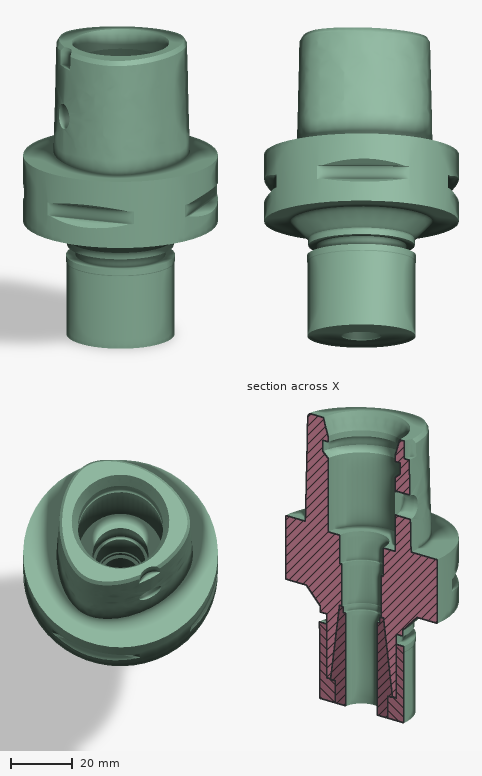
import cadquery as cq
import math

TOTAL_HEIGHT = 98.0

SHANK_LENGTH = 37.8
SHANK_RADIUS = 22.05
LOBE_OFFSET = 1.4
TAPER_SLOPE = 1 / 40
SECTION_POINTS = 36
TIP_CHAMFER_HEIGHT = 1.5
TIP_CHAMFER_WIDTH = 0.9

FLANGE_RADIUS = 63.0 / 2
FLANGE_HEIGHT = 22.2
CONE_HEIGHT = 5.8
COLLAR_RADIUS = 17.2
COLLAR_HEIGHT = 2.2
NOSE_RADIUS = 14.5
NECK_HEIGHT = 3.3

SLOT_COUNT = 4
SLOT_FLOOR_DISTANCE = 27.7
SLOT_FLOOR_HEIGHT = 4.3
SLOT_FLARE_DISTANCE = 28.5
SLOT_FLARE = 1.7
SLOT_DEPTH_IN_FLANGE = 12.2

NOTCH_RADIUS = 5.0
NOTCH_DEPTH = 6.1
NOTCH_REACH = 17.8
SIDE_HOLE_RADIUS = 4.1
SIDE_HOLE_DROP = 22.4
SIDE_HOLE_FLOOR = 14.3

MOUTH_RADIUS = 15.8
CAVITY_RADIUS = 13.8
MOUTH_CONE_DEPTH = 6.1
LIP_DEPTH = 8.1
GROOVE_RADIUS = 16.0
GROOVE_DEPTH = 11.9
GROOVE_RAMP_DEPTH = 13.7
CAVITY_DEPTH = 39.2
SCREW_HOLE_RADIUS = 9.0
SCREW_HOLE_DEPTH = 49.0
PASSAGE_RADIUS = 8.0

NUT_RADIUS = 17.5
NUT_RIM_RADIUS = 17.6
NUT_RIM_HEIGHT = 2.0
NUT_STEP_CHAMFER = 0.3
NUT_FLOOR = 7.8
NUT_OPENING_RADIUS = 10.8

COLLET_LENGTH = 34.3
COLLET_TIP_RADIUS = 9.0
COLLET_TAPER_ANGLE = 8.0
COLLET_BORE_RADIUS = 6.5
COLLET_RECESS_RADIUS = 7.5
COLLET_RECESS_DEPTH = 2.0

flange_top = TOTAL_HEIGHT - SHANK_LENGTH
flange_bottom = flange_top - FLANGE_HEIGHT
cone_bottom = flange_bottom - CONE_HEIGHT
collar_bottom = cone_bottom - COLLAR_HEIGHT
nut_top = collar_bottom - NECK_HEIGHT
collet_seat_radius = COLLET_TIP_RADIUS + (COLLET_LENGTH - NUT_FLOOR) * math.tan(
    math.radians(COLLET_TAPER_ANGLE)
)


def revolved(profile):
    """Solid of revolution about Z from (radius, height) points."""
    half_plane = cq.Plane(origin=(0, 0, 0), xDir=(0, -1, 0), normal=(-1, 0, 0))
    return cq.Workplane(half_plane).polyline(profile).close().revolve(360, (0, 0), (0, 1))


def polygon_section(mean_radius, height):
    """Closed three-lobed curve with one lobe toward +Y, starting at the middle of the -Y side."""
    points = []
    for index in range(SECTION_POINTS):
        angle = math.pi + 2 * math.pi * index / SECTION_POINTS
        x = (
            mean_radius * math.sin(angle)
            - 2 * LOBE_OFFSET * math.sin(2 * angle)
            - LOBE_OFFSET * math.sin(4 * angle)
        )
        y = (
            mean_radius * math.cos(angle)
            + 2 * LOBE_OFFSET * math.cos(2 * angle)
            - LOBE_OFFSET * math.cos(4 * angle)
        )
        points.append(cq.Vector(x, y, height))
    return cq.Wire.assembleEdges([cq.Edge.makeSpline(points, periodic=True)])


def loft_between(lower, upper):
    """Straight-sided solid between two section wires."""
    return cq.Workplane(cq.Solid.makeLoft([lower, upper], True))


def make_shank():
    """Tapered polygon shank with a chamfered tip."""
    chamfer_start = TOTAL_HEIGHT - TIP_CHAMFER_HEIGHT
    radius_at_chamfer = SHANK_RADIUS - (SHANK_LENGTH - TIP_CHAMFER_HEIGHT) * TAPER_SLOPE
    base = polygon_section(SHANK_RADIUS, flange_top)
    shoulder = polygon_section(radius_at_chamfer, chamfer_start)
    tip = polygon_section(radius_at_chamfer - TIP_CHAMFER_WIDTH, TOTAL_HEIGHT)
    return loft_between(base, shoulder).union(loft_between(shoulder, tip))


def make_flange_and_nose():
    """Flange, cone, collar and the nose that the nut fits over."""
    return revolved([
        (0, flange_top),
        (FLANGE_RADIUS, flange_top),
        (FLANGE_RADIUS, flange_bottom),
        (COLLAR_RADIUS + CONE_HEIGHT, flange_bottom),
        (COLLAR_RADIUS, cone_bottom),
        (COLLAR_RADIUS, collar_bottom),
        (NOSE_RADIUS, collar_bottom),
        (NOSE_RADIUS, NUT_FLOOR),
        (0, NUT_FLOOR),
    ])


def make_cavity():
    """Open space through the housing, from the shank mouth to the collet seat."""

    def below_top(depth):
        return TOTAL_HEIGHT - depth

    return revolved([
        (0, TOTAL_HEIGHT),
        (MOUTH_RADIUS, TOTAL_HEIGHT),
        (CAVITY_RADIUS, below_top(MOUTH_CONE_DEPTH)),
        (CAVITY_RADIUS, below_top(LIP_DEPTH)),
        (GROOVE_RADIUS, below_top(LIP_DEPTH)),
        (GROOVE_RADIUS, below_top(GROOVE_DEPTH)),
        (CAVITY_RADIUS, below_top(GROOVE_RAMP_DEPTH)),
        (CAVITY_RADIUS, below_top(CAVITY_DEPTH)),
        (SCREW_HOLE_RADIUS, below_top(CAVITY_DEPTH)),
        (SCREW_HOLE_RADIUS, below_top(SCREW_HOLE_DEPTH)),
        (PASSAGE_RADIUS, below_top(SCREW_HOLE_DEPTH)),
        (PASSAGE_RADIUS, COLLET_LENGTH),
        (COLLET_TIP_RADIUS, COLLET_LENGTH),
        (collet_seat_radius, NUT_FLOOR),
        (0, NUT_FLOOR),
    ])


def make_gripper_slot(angle):
    """Straight slot with flared sides, cut across the flange rim."""
    middle = flange_top - SLOT_DEPTH_IN_FLANGE
    half_floor = SLOT_FLOOR_HEIGHT / 2
    half_mouth = half_floor + SLOT_FLARE
    profile = [
        (SLOT_FLOOR_DISTANCE, middle - half_floor),
        (SLOT_FLARE_DISTANCE, middle - half_floor),
        (FLANGE_RADIUS, middle - half_mouth),
        (FLANGE_RADIUS, middle + half_mouth),
        (SLOT_FLARE_DISTANCE, middle + half_floor),
        (SLOT_FLOOR_DISTANCE, middle + half_floor),
    ]
    slot = cq.Workplane("XZ").polyline(profile).close().extrude(FLANGE_RADIUS, both=True)
    return slot.rotate((0, 0, 0), (0, 0, 1), angle)


def make_notch():
    """Round-backed notch in the rim of the shank, open at the top."""
    return (
        cq.Workplane("XY", origin=(0, -NOTCH_REACH - NOTCH_RADIUS, TOTAL_HEIGHT - NOTCH_DEPTH))
        .circle(NOTCH_RADIUS)
        .extrude(NOTCH_DEPTH)
    )


def make_side_hole():
    """Flat-bottomed blind hole in the -Y side of the shank."""
    return (
        cq.Workplane("XZ", origin=(0, -SIDE_HOLE_FLOOR, TOTAL_HEIGHT - SIDE_HOLE_DROP))
        .circle(SIDE_HOLE_RADIUS)
        .extrude(SHANK_RADIUS - SIDE_HOLE_FLOOR)
    )


def make_housing():
    """Shank, flange and nose in one piece, with every cut made."""
    housing = make_flange_and_nose().union(make_shank())
    housing = housing.cut(make_cavity()).cut(make_notch()).cut(make_side_hole())
    for index in range(SLOT_COUNT):
        housing = housing.cut(make_gripper_slot((index + 0.5) * 360 / SLOT_COUNT))
    return housing


def make_nut():
    """Cap nut over the nose, with a rim at its upper end and an opening in its floor."""
    rim_bottom = nut_top - NUT_RIM_HEIGHT
    return revolved([
        (NUT_OPENING_RADIUS, 0),
        (NUT_RADIUS, 0),
        (NUT_RADIUS, rim_bottom - NUT_STEP_CHAMFER),
        (NUT_RIM_RADIUS, rim_bottom),
        (NUT_RIM_RADIUS, nut_top),
        (NOSE_RADIUS, nut_top),
        (NOSE_RADIUS, NUT_FLOOR),
        (NUT_OPENING_RADIUS, NUT_FLOOR),
    ])


def make_collet():
    """Tapered collet with a through bore, seated in the nose and held by the nut floor."""
    recess_floor = COLLET_LENGTH - COLLET_RECESS_DEPTH
    return revolved([
        (COLLET_BORE_RADIUS, 0),
        (NUT_OPENING_RADIUS, 0),
        (NUT_OPENING_RADIUS, NUT_FLOOR),
        (collet_seat_radius, NUT_FLOOR),
        (COLLET_TIP_RADIUS, COLLET_LENGTH),
        (COLLET_RECESS_RADIUS, COLLET_LENGTH),
        (COLLET_RECESS_RADIUS, recess_floor),
        (COLLET_BORE_RADIUS, recess_floor),
    ])


housing = make_housing()
nut = make_nut()
collet = make_collet()

result = cq.Compound.makeCompound([housing.val(), nut.val(), collet.val()])